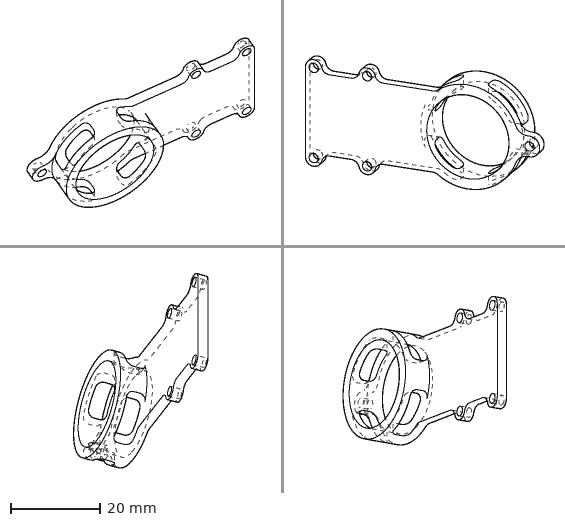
import cadquery as cq
import math

plate_thickness = 2.5
overall_width = 25.6
plate_end_y = 39.5
plate_half_width = 9.75

ring_height = 9.0
ring_radius = 25.0 / 2
bore_radius = 20.0 / 2

screw_hole_diameter = 2.2

side_lug_radius = 2.0
side_lug_z = overall_width / 2 - side_lug_radius
end_lug_y = plate_end_y - side_lug_radius
lug_spacing = 13.0
middle_lug_y = end_lug_y - lug_spacing
side_blend_radius = 2.0

tab_y = -15.0
tab_radius = 2.5
tab_blend_radius = 3.0

post_width = 7.0
window_top_x = 7.0
window_corner_radius = 1.5


def blend_offset(round_radius, blend_radius, centre_height):
    """Distance along Y from a round's centre to the centre of a blend that touches it.

    centre_height is the height difference between the two centres.
    """
    return math.sqrt((round_radius + blend_radius) ** 2 - centre_height**2)


def touch_point(round_centre, round_radius, blend_centre, blend_radius):
    """Point where an outside round and its concave blend meet."""
    share = round_radius / (round_radius + blend_radius)
    return (
        round_centre[0] + share * (blend_centre[0] - round_centre[0]),
        round_centre[1] + share * (blend_centre[1] - round_centre[1]),
    )


def make_half_plate():
    """Upper half (Z >= 0) of the plate, its outline tangent from the end lug to the tab."""
    side_blend_z = plate_half_width + side_blend_radius
    lug_blend_offset = blend_offset(side_lug_radius, side_blend_radius, side_blend_z - side_lug_z)

    def lug_touch(lug_y, side):
        blend_centre = (lug_y + side * lug_blend_offset, side_blend_z)
        return touch_point((lug_y, side_lug_z), side_lug_radius, blend_centre, side_blend_radius)

    ring_centre = (0, 0)
    ring_blend_y = blend_offset(ring_radius, side_blend_radius, side_blend_z)
    ring_touch = touch_point(ring_centre, ring_radius, (ring_blend_y, side_blend_z), side_blend_radius)

    tab_blend_z = tab_radius + tab_blend_radius
    tab_blend_y = -blend_offset(ring_radius, tab_blend_radius, tab_blend_z)
    tab_touch = touch_point(ring_centre, ring_radius, (tab_blend_y, tab_blend_z), tab_blend_radius)

    return (
        cq.Workplane("YZ")
        .moveTo(plate_end_y, 0)
        .lineTo(plate_end_y, side_lug_z)
        .tangentArcPoint(lug_touch(end_lug_y, -1), relative=False)
        .tangentArcPoint((end_lug_y - lug_blend_offset, plate_half_width), relative=False)
        .lineTo(middle_lug_y + lug_blend_offset, plate_half_width)
        .tangentArcPoint(lug_touch(middle_lug_y, 1), relative=False)
        .tangentArcPoint(lug_touch(middle_lug_y, -1), relative=False)
        .tangentArcPoint((middle_lug_y - lug_blend_offset, plate_half_width), relative=False)
        .lineTo(ring_blend_y, plate_half_width)
        .tangentArcPoint(ring_touch, relative=False)
        .tangentArcPoint(tab_touch, relative=False)
        .tangentArcPoint((tab_blend_y, tab_radius), relative=False)
        .lineTo(tab_y, tab_radius)
        .tangentArcPoint((tab_y - tab_radius, 0), relative=False)
        .close()
        .extrude(plate_thickness)
    )


def make_window():
    """Cutter for the window between the +Y and +Z posts.

    Its end walls are parallel to the post centre planes, with rounded corners.
    """
    window_width = window_top_x - plate_thickness
    reach = ring_radius
    cutter = cq.Workplane("XY").box(window_width, reach, reach, centered=False)
    end_wall_corners = cutter.faces("<Y").edges("|Z").vals() + cutter.faces("<Z").edges("|Y").vals()
    cutter = cutter.newObject(end_wall_corners).fillet(window_corner_radius)
    return cutter.translate((plate_thickness, post_width / 2, post_width / 2))


half_plate = make_half_plate()
plate = half_plate.union(half_plate.mirror("XY"))

ring = cq.Workplane("YZ").circle(ring_radius).extrude(ring_height)
bore = cq.Workplane("YZ").circle(bore_radius).extrude(ring_height)
result = plate.union(ring).cut(bore)

window = make_window()
window_count = 4
for index in range(window_count):
    result = result.cut(window.rotate((0, 0, 0), (1, 0, 0), index * 360 / window_count))

hole_centres = [(tab_y, 0)]
for lug_y in (end_lug_y, middle_lug_y):
    hole_centres += [(lug_y, side_lug_z), (lug_y, -side_lug_z)]
screw_holes = (
    cq.Workplane("YZ").pushPoints(hole_centres).circle(screw_hole_diameter / 2).extrude(plate_thickness)
)
result = result.cut(screw_holes)